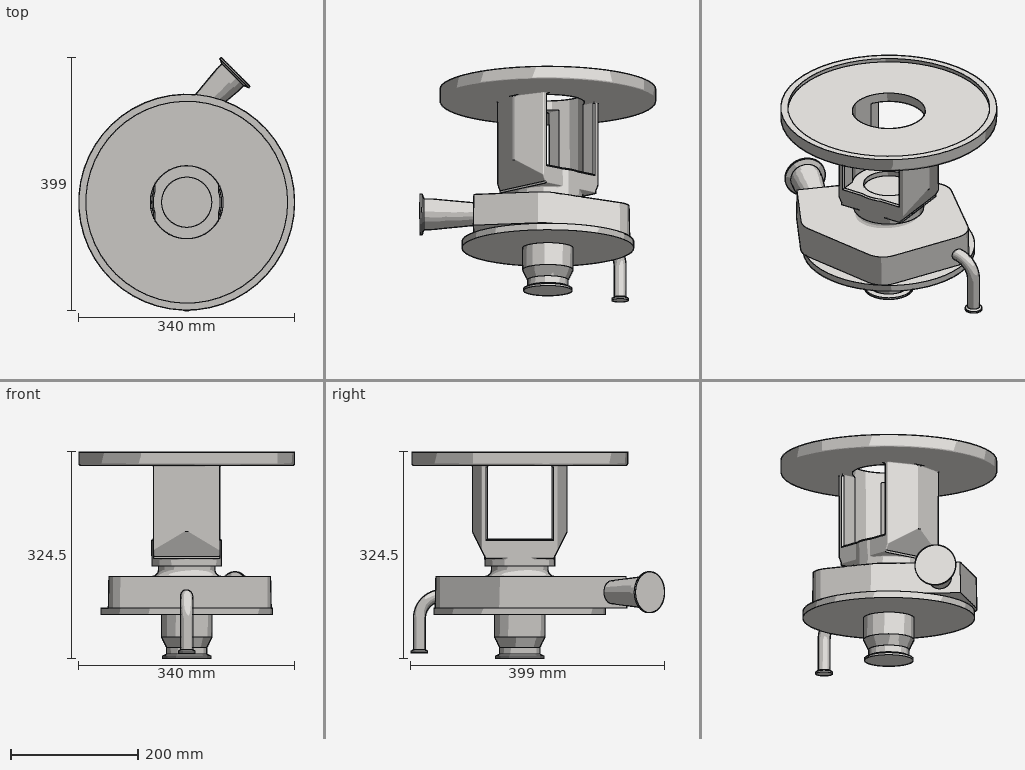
import cadquery as cq
import math

TOTAL_HEIGHT = 324.5
SPOUT_FERRULE_TOP = 3.0
SPOUT_CONE_BOTTOM = 17.0
SPOUT_CONE_TOP = 33.5
FLANGE_BOTTOM = 68.5
BODY_BOTTOM = 79.0
BODY_TOP = 129.0
NECK_FLARE_TOP = 139.0
CUP_BOTTOM = 145.0
BRACKET_BOTTOM = 157.0
SLANT_BOTTOM = 160.5
CUP_TOP = 187.5
PLATE_THICKNESS = 21.0
PLATE_BOTTOM = TOTAL_HEIGHT - PLATE_THICKNESS

PLATE_RADIUS = 170.0
PLATE_RECESS_RADIUS = 159.0
PLATE_RECESS_DEPTH = 6.0
PLATE_HOLE_RADIUS = 57.5
PLATE_EDGE_ROUND = 3.0

BRACKET_HALF_WIDTH = 52.3
BRACKET_SIDE_Y = 60.0
RIDGE_Y = 74.5
RIDGE_HALF_WIDTH = 2.5
WINDOW_HALF_WIDTH = 50.5
WINDOW_CHAMFER = 2.5
BRACKET_EDGE_ROUND = 2.0
FOOT_EDGE_ROUND = 2.0
ARM_TOP_ROUND = 2.0
SLANT_TOP = 199.0
SLANT_BOTTOM_Y = 55.5

CUP_RADIUS = 55.0
CUP_TOP_CHAMFER = 2.5
CUP_JOINT_ROUND = 2.5
CUP_BORE_RADIUS = 39.5
CUP_BORE_DEPTH = 8.0
NECK_RADIUS = 44.5
NECK_FLARE_RADIUS = 55.0
FLANGE_RADIUS = 135.3
SPOUT_RADIUS = 40.0
SPOUT_END_RADIUS = 32.0
SPOUT_FERRULE_RADIUS = 38.5
SPOUT_FERRULE_TAPER = 3.0

BODY_DRAFT_ANGLE = 1
BODY_FACE_DISTANCE = 115.5
BODY_CORNER_ROUND = 34.5
REGULAR_FACE_ANGLES = [171, 243, 315, 27]
OUTLET_SIDE_ANGLE = 126
OUTLET_SIDE_DISTANCE = 139.5
OUTLET_ANGLE = 45

OUTLET_OFFSET = 90.5
OUTLET_START = 87.8
OUTLET_CONE_END = 180.5
OUTLET_END = 199.5
OUTLET_START_RADIUS = 15.5
OUTLET_RADIUS = 24.5
OUTLET_FERRULE_RADIUS = 32.5
OUTLET_FERRULE_THICKNESS = 3.0
OUTLET_FERRULE_TAPER = 3.0

DRAIN_RADIUS = 9.5
DRAIN_Y = -158.0
DRAIN_BEND_RADIUS = 36.0
DRAIN_BEND_BOTTOM = 62.5
DRAIN_BOTTOM = 8.5
DRAIN_INNER_Y = -99.8
DRAIN_FERRULE_RADIUS = 13.0
DRAIN_FERRULE_THICKNESS = 2.8
DRAIN_FERRULE_TAPER = 2.5

EDGE_SEARCH_MARGIN = 0.2


def cylinder(radius, bottom, top):
    return cq.Workplane("XY").workplane(offset=bottom).circle(radius).extrude(top - bottom)


def face_crossing(first, second):
    """Point where two upright faces meet, each given as (normal angle, distance from the axis)."""
    (angle_1, distance_1), (angle_2, distance_2) = first, second
    a1, a2 = math.radians(angle_1), math.radians(angle_2)
    spread = math.sin(a2 - a1)
    x = (distance_1 * math.sin(a2) - distance_2 * math.sin(a1)) / spread
    y = (distance_2 * math.cos(a1) - distance_1 * math.cos(a2)) / spread
    return (x, y)


def make_plate():
    plate = cylinder(PLATE_RADIUS, PLATE_BOTTOM, TOTAL_HEIGHT).faces("<Z").edges().fillet(PLATE_EDGE_ROUND)
    recess = cylinder(PLATE_RECESS_RADIUS, TOTAL_HEIGHT - PLATE_RECESS_DEPTH, TOTAL_HEIGHT)
    return plate.cut(recess)


def make_bracket():
    plan = [
        (RIDGE_HALF_WIDTH, RIDGE_Y),
        (BRACKET_HALF_WIDTH, BRACKET_SIDE_Y),
        (BRACKET_HALF_WIDTH, -BRACKET_SIDE_Y),
        (RIDGE_HALF_WIDTH, -RIDGE_Y),
        (-RIDGE_HALF_WIDTH, -RIDGE_Y),
        (-BRACKET_HALF_WIDTH, -BRACKET_SIDE_Y),
        (-BRACKET_HALF_WIDTH, BRACKET_SIDE_Y),
        (-RIDGE_HALF_WIDTH, RIDGE_Y),
    ]
    columns = (
        cq.Workplane("XY").workplane(offset=BRACKET_BOTTOM)
        .polyline(plan).close().extrude(PLATE_BOTTOM - BRACKET_BOTTOM)
    )
    side = [
        (SLANT_BOTTOM_Y, BRACKET_BOTTOM),
        (SLANT_BOTTOM_Y, SLANT_BOTTOM),
        (RIDGE_Y, SLANT_TOP),
        (RIDGE_Y, PLATE_BOTTOM),
        (-RIDGE_Y, PLATE_BOTTOM),
        (-RIDGE_Y, SLANT_TOP),
        (-SLANT_BOTTOM_Y, SLANT_BOTTOM),
        (-SLANT_BOTTOM_Y, BRACKET_BOTTOM),
    ]
    outline = cq.Workplane("YZ").polyline(side).close().extrude(BRACKET_HALF_WIDTH, both=True)
    bracket = columns.intersect(outline)
    foot_edges = cq.selectors.BoxSelector(
        (-BRACKET_SIDE_Y / 2, -RIDGE_Y, SLANT_BOTTOM), (BRACKET_SIDE_Y / 2, RIDGE_Y, SLANT_TOP)
    )
    bracket = bracket.edges(foot_edges).edges("not |X").fillet(FOOT_EDGE_ROUND)
    for side_face in (">X", "<X"):
        bracket = bracket.faces(side_face).edges("not >Z").fillet(BRACKET_EDGE_ROUND)
    return bracket


def mouth_outline(growth):
    """Window outline in Y and Z, grown sideways and downwards for the chamfered mouth."""
    half_width = WINDOW_HALF_WIDTH + growth
    bottom = CUP_TOP - growth
    top = PLATE_BOTTOM - ARM_TOP_ROUND
    return [(-half_width, bottom), (half_width, bottom), (half_width, top), (-half_width, top)]


def make_window():
    """Opening between the arms, with rounded upper corners and chamfered mouths."""
    window = (
        cq.Workplane("XY").workplane(offset=CUP_TOP)
        .rect(4 * BRACKET_HALF_WIDTH, 2 * WINDOW_HALF_WIDTH).extrude(PLATE_BOTTOM - CUP_TOP)
    )
    window = window.faces(">Z").edges("|X").fillet(ARM_TOP_ROUND)
    for side_sign in (1, -1):
        inner_x = side_sign * (BRACKET_HALF_WIDTH - WINDOW_CHAMFER)
        mouth = (
            cq.Workplane("YZ").workplane(offset=inner_x)
            .polyline(mouth_outline(0)).close()
            .workplane(offset=side_sign * WINDOW_CHAMFER)
            .polyline(mouth_outline(WINDOW_CHAMFER)).close()
            .loft(ruled=True)
        )
        window = window.union(mouth)
    return window


def make_turned_core():
    """Spout, flange, flared neck and cup, all turned about the main axis."""
    flare_drop = NECK_FLARE_TOP - BODY_TOP
    flare_run = NECK_FLARE_RADIUS - NECK_RADIUS
    flare_middle = (
        NECK_FLARE_RADIUS - flare_run * math.sin(math.pi / 4),
        NECK_FLARE_TOP - flare_drop * math.sin(math.pi / 4),
    )
    profile = (
        cq.Workplane("XZ").moveTo(0, 0)
        .lineTo(SPOUT_FERRULE_RADIUS, 0)
        .lineTo(SPOUT_FERRULE_RADIUS, SPOUT_FERRULE_TOP)
        .lineTo(SPOUT_END_RADIUS, SPOUT_FERRULE_TOP + SPOUT_FERRULE_TAPER)
        .lineTo(SPOUT_END_RADIUS, SPOUT_CONE_BOTTOM)
        .lineTo(SPOUT_RADIUS, SPOUT_CONE_TOP)
        .lineTo(SPOUT_RADIUS, FLANGE_BOTTOM)
        .lineTo(FLANGE_RADIUS, FLANGE_BOTTOM)
        .lineTo(FLANGE_RADIUS, BODY_BOTTOM)
        .lineTo(NECK_FLARE_RADIUS, BODY_BOTTOM)
        .lineTo(NECK_FLARE_RADIUS, BODY_TOP)
        .threePointArc(flare_middle, (NECK_RADIUS, NECK_FLARE_TOP))
        .lineTo(NECK_RADIUS, CUP_BOTTOM)
        .lineTo(CUP_RADIUS, CUP_BOTTOM)
        .lineTo(CUP_RADIUS, CUP_TOP - CUP_TOP_CHAMFER)
        .lineTo(CUP_RADIUS - CUP_TOP_CHAMFER, CUP_TOP)
        .lineTo(0, CUP_TOP)
        .close()
    )
    return profile.revolve(360, (0, 0, 0), (0, 1, 0))


def make_body():
    faces = [(angle, BODY_FACE_DISTANCE) for angle in REGULAR_FACE_ANGLES]
    faces.append((OUTLET_ANGLE, BODY_FACE_DISTANCE))
    faces.append((OUTLET_SIDE_ANGLE, OUTLET_SIDE_DISTANCE))
    corners = [face_crossing(face, faces[i - 1]) for i, face in enumerate(faces)]
    body = (
        cq.Workplane("XY").workplane(offset=BODY_BOTTOM)
        .polyline(corners).close().extrude(BODY_TOP - BODY_BOTTOM, taper=BODY_DRAFT_ANGLE)
    )
    rounded_corners = corners[:4]
    for x, y in rounded_corners:
        edge = cq.selectors.NearestToPointSelector((x, y, (BODY_BOTTOM + BODY_TOP) / 2))
        body = body.edges(edge).fillet(BODY_CORNER_ROUND)
    return body


def make_outlet():
    ferrule_back = OUTLET_END - OUTLET_FERRULE_THICKNESS
    profile = [
        (0, OUTLET_START),
        (OUTLET_START_RADIUS, OUTLET_START),
        (OUTLET_RADIUS, OUTLET_CONE_END),
        (OUTLET_RADIUS, ferrule_back - OUTLET_FERRULE_TAPER),
        (OUTLET_FERRULE_RADIUS, ferrule_back),
        (OUTLET_FERRULE_RADIUS, OUTLET_END),
        (0, OUTLET_END),
    ]
    pipe = cq.Workplane("XY").polyline(profile).close().revolve(360, (0, 0, 0), (0, 1, 0))
    height = (BODY_BOTTOM + BODY_TOP) / 2
    return pipe.translate((-OUTLET_OFFSET, 0, height)).rotate((0, 0, 0), (0, 0, 1), OUTLET_ANGLE - 90)


def make_drain():
    bend_y = DRAIN_Y + DRAIN_BEND_RADIUS
    axis_top = DRAIN_BEND_BOTTOM + DRAIN_BEND_RADIUS
    bend_middle = (
        bend_y - DRAIN_BEND_RADIUS * math.cos(math.pi / 4),
        DRAIN_BEND_BOTTOM + DRAIN_BEND_RADIUS * math.sin(math.pi / 4),
    )
    path = (
        cq.Workplane("YZ").moveTo(DRAIN_Y, DRAIN_BOTTOM)
        .lineTo(DRAIN_Y, DRAIN_BEND_BOTTOM)
        .threePointArc(bend_middle, (bend_y, axis_top))
        .lineTo(DRAIN_INNER_Y, axis_top)
    )
    pipe = cq.Workplane("XY", origin=(0, DRAIN_Y, DRAIN_BOTTOM)).circle(DRAIN_RADIUS).sweep(path)
    ferrule_profile = [
        (0, 0),
        (DRAIN_FERRULE_RADIUS, 0),
        (DRAIN_FERRULE_RADIUS, DRAIN_FERRULE_THICKNESS),
        (DRAIN_RADIUS, DRAIN_FERRULE_THICKNESS + DRAIN_FERRULE_TAPER),
        (0, DRAIN_FERRULE_THICKNESS + DRAIN_FERRULE_TAPER),
    ]
    ferrule = cq.Workplane("XZ").polyline(ferrule_profile).close().revolve(360, (0, 0, 0), (0, 1, 0))
    return pipe.union(ferrule.translate((0, DRAIN_Y, DRAIN_BOTTOM)))


def edges_at_height(part, height, reach):
    """Edges lying level at a height and centred within a square reach of the main axis."""
    level = cq.selectors.BoxSelector(
        (-reach, -reach, height - EDGE_SEARCH_MARGIN),
        (reach, reach, height + EDGE_SEARCH_MARGIN),
    )
    return part.edges(level)


result = make_bracket().union(make_plate())
result = edges_at_height(result, PLATE_BOTTOM, RIDGE_Y).fillet(ARM_TOP_ROUND)
turned_core = make_turned_core()
result = result.union(turned_core)
result = edges_at_height(result, BRACKET_BOTTOM, CUP_RADIUS).edges("%CIRCLE").fillet(CUP_JOINT_ROUND)
result = result.cut(make_window().cut(turned_core))
result = result.cut(cylinder(PLATE_HOLE_RADIUS, CUP_TOP, TOTAL_HEIGHT))
result = result.cut(cylinder(CUP_BORE_RADIUS, CUP_TOP - CUP_BORE_DEPTH, CUP_TOP))
result = result.union(make_body()).union(make_outlet()).union(make_drain())